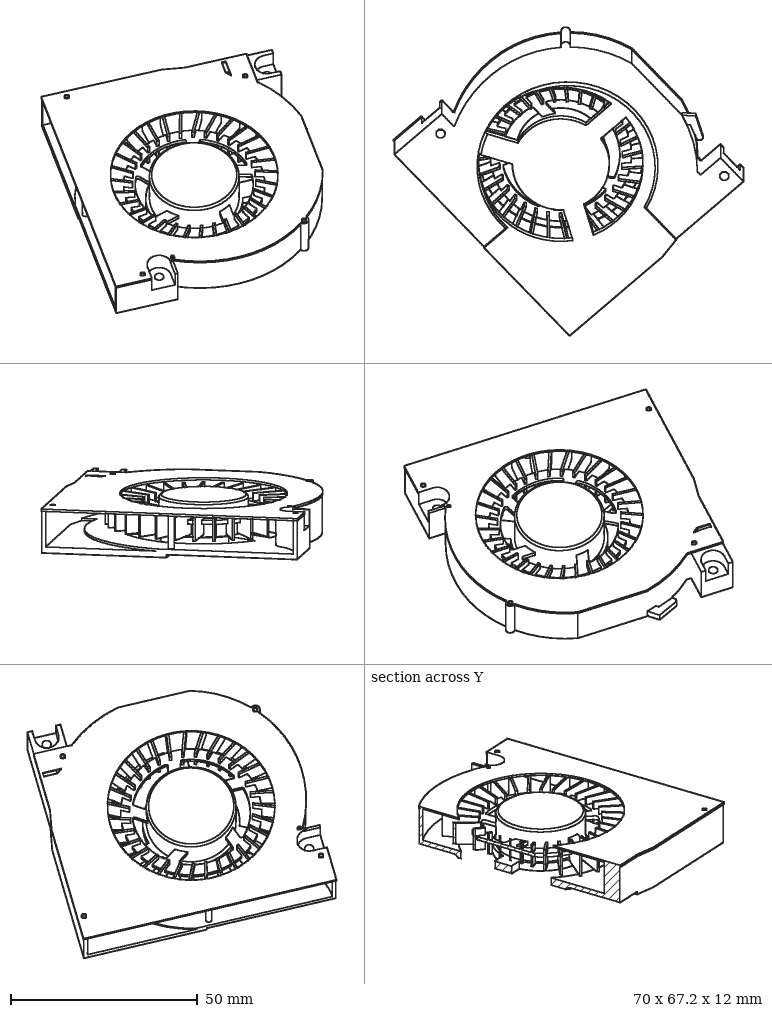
import cadquery as cq
import math


LEFT, RIGHT = -38.0, 32.0
FRONT = -31.4
HEIGHT = 12.0
COVER_THICKNESS = 0.6
COVER_BOTTOM = HEIGHT - COVER_THICKNESS
COVER_OVERHANG = 0.15
SHELL_BOTTOM = 0.8
FLOOR_HIGH = 2.3
FLOOR_LOW = 1.7
FLOOR_STEP_RADIUS = 31.95
WALL = 1.2
OVERALL_DEPTH = 67.18
BLOCK_LEFT, BLOCK_RIGHT = -36.9, -27.45
BLOCK_BACK = 32.8
SHOULDER = 25.6
JOG_FRONT, JOG_BACK = 2.3, 8.3
FIN_BACK = -13.9

SCROLL_TOP = 33.4
SCROLL_START = (-26.4, SHOULDER)
REAR_ARC_MID = (-20.15, 30.05)
REAR_ARC_END = (-11.5, SCROLL_TOP)
SIDE_ARC_START = (8.4, SCROLL_TOP)
SIDE_ARC_MID = (23.3, 24.0)
SIDE_ARC_END = (31.35, 3.5)
TONGUE_ARC_MID = (30.25, -6.1)
TONGUE_ARC_END = (27.2, FIN_BACK)

CHANNEL_START = (-35.0, JOG_BACK)
CHANNEL_REAR_MID = (-26.3, 23.4)
CHANNEL_REAR_END = (REAR_ARC_END[0], SCROLL_TOP - WALL)
CHANNEL_SIDE_START = (8.0, SCROLL_TOP - WALL)
CHANNEL_SIDE_MID = (22.2, 23.4)
CHANNEL_SIDE_END = (SIDE_ARC_END[0] - WALL, SIDE_ARC_END[1])
CHANNEL_TONGUE_MID = (29.2, -5.8)
CHANNEL_TONGUE_TIP = (25.4, -14.5)
CHANNEL_TONGUE_BACK = (25.2, -21.5)
OUTLET_BEND_MID = (28.9, -25.0)
OUTLET_BEND_END = (RIGHT - WALL, -30.0)

PAD_RIGHT = -3.8
PAD_BACK = JOG_BACK
PAD_DISC_CENTER = (-1.9, 0.7)
PAD_DISC_RADIUS = 24.2
PAD_CHAMFER = 0.75

INLET_RADIUS = 44.8 / 2
BASE_OPENING_RADIUS = 22.0
BASE_HUB_RADIUS = 13.0
HUB_RADIUS = 24.0 / 2
HUB_TOP = 11.7
HUB_CHAMFER = 0.6
BASE_WEBS = [(90, 1.8, -3.7), (206, 3.0, -2.7), (330, 2.3, -3.9)]
BLADE_COUNT = 31
BLADE_INNER, BLADE_OUTER = 16.4, 26.4
BLADE_THICKNESS = 0.6
BLADE_BOTTOM, BLADE_TOP = 3.85, 10.15
BLADE_PIVOT = INLET_RADIUS
BLADE_TILT = -9.4
BLADE_PHASE = -1.45
RING_INNER, RING_OUTER = 15.8, 18.9
RING_BOTTOM, RING_TOP = 7.0, 8.1
SPOKE_COUNT = 5
SPOKE_WIDTH = 3.2
SPOKE_OFFSET = 5.3
SPOKE_START = 9.0
SPOKE_FILLET = 0.6

MOUNT_BACK = (-32.15, 29.9)
MOUNT_SIDE = (27.9, -18.1)
MOUNT_HOLE_DIAMETER = 2.4
NOTCH_RADIUS = 3.25
NOTCH_FLOOR = 7.0
RIVET_EAR = (23.9, 23.5)
RIVETS = [(-29.5, 23.0), (-36.1, -24.8), (29.8, -23.3), RIVET_EAR]
RIVET_DIAMETER, RIVET_HOLE_DIAMETER = 1.0, 1.3
RIVET_DEPTH = 0.4
RIVET_EAR_RADIUS = 1.25
TONGUE_BOSS = (26.3, -13.9)
TONGUE_BOSS_RADIUS = 0.65
TONGUE_HOLE_RADIUS = 0.5
COVER_END = 27.3
COLUMN_CENTER = (-2.85, -29.5)
COLUMN_RADIUS = 0.85
LATCH_LEFT, LATCH_RIGHT, LATCH_TIP = -35.9, -32.2, -30.8
LATCH_FRONT, LATCH_BACK = 18.4, 19.5
LATCH_DEPTH, LATCH_RAMP_DEPTH = 0.4, 0.2
HOOK_POINTS = [
    (-11.0, 32.2), (-11.9, 33.4), (-14.25, FRONT + OVERALL_DEPTH), (-20.4, 32.95),
    (-20.4, 32.2), (-19.7, 31.4), (-15.2, 33.0), (-14.6, 32.4), (-14.0, 31.5),
]
HOOK_BOTTOM, HOOK_TOP = 0.9, 2.9


def cylinder(center, radius, bottom, top):
    return cq.Workplane("XY", origin=(0, 0, bottom)).center(*center).circle(radius).extrude(top - bottom)


def slab(x_range, y_range, z_range):
    size = [high - low for low, high in (x_range, y_range, z_range)]
    corner = (x_range[0], y_range[0], z_range[0])
    return cq.Workplane("XY", origin=corner).box(*size, centered=False)


def case_outline(bottom):
    """Volute outline with a rear mounting block and a straight front outlet."""
    return (
        cq.Workplane("XY", origin=(0, 0, bottom))
        .moveTo(LEFT, FRONT)
        .lineTo(LEFT, JOG_FRONT)
        .lineTo(BLOCK_LEFT, JOG_BACK)
        .lineTo(BLOCK_LEFT, BLOCK_BACK)
        .lineTo(BLOCK_RIGHT, BLOCK_BACK)
        .lineTo(BLOCK_RIGHT, SHOULDER)
        .lineTo(*SCROLL_START)
        .threePointArc(REAR_ARC_MID, REAR_ARC_END)
        .lineTo(*SIDE_ARC_START)
        .threePointArc(SIDE_ARC_MID, SIDE_ARC_END)
        .threePointArc(TONGUE_ARC_MID, TONGUE_ARC_END)
        .lineTo(RIGHT, FIN_BACK)
        .lineTo(RIGHT, FRONT)
        .close()
    )


def air_channel(bottom):
    """Scroll cavity that opens through the front and bends around the side mount."""
    inner_left, inner_right = LEFT + WALL, RIGHT - WALL
    tongue_mid = (MOUNT_SIDE[0] - NOTCH_RADIUS - WALL, MOUNT_SIDE[1])
    return (
        cq.Workplane("XY", origin=(0, 0, bottom))
        .moveTo(inner_left, FRONT - WALL)
        .lineTo(inner_left, JOG_FRONT)
        .lineTo(*CHANNEL_START)
        .threePointArc(CHANNEL_REAR_MID, CHANNEL_REAR_END)
        .lineTo(*CHANNEL_SIDE_START)
        .threePointArc(CHANNEL_SIDE_MID, CHANNEL_SIDE_END)
        .threePointArc(CHANNEL_TONGUE_MID, CHANNEL_TONGUE_TIP)
        .threePointArc(tongue_mid, CHANNEL_TONGUE_BACK)
        .threePointArc(OUTLET_BEND_MID, OUTLET_BEND_END)
        .lineTo(inner_right, FRONT - WALL)
        .close()
        .extrude(COVER_BOTTOM - bottom)
    )


def underside_pad():
    corner = slab((LEFT, PAD_RIGHT), (FRONT, PAD_BACK), (0, SHELL_BOTTOM))
    disc = cylinder(PAD_DISC_CENTER, PAD_DISC_RADIUS, 0, SHELL_BOTTOM).faces("<Z").chamfer(PAD_CHAMFER)
    return corner.intersect(case_outline(0).extrude(SHELL_BOTTOM)).union(disc)


def make_shell():
    shell = case_outline(SHELL_BOTTOM).extrude(COVER_BOTTOM - SHELL_BOTTOM)
    shell = shell.union(underside_pad())
    trimmed = case_outline(0).offset2D(-COVER_OVERHANG).extrude(COVER_BOTTOM)
    shell = shell.intersect(trimmed)
    shell = shell.union(cylinder(RIVET_EAR, RIVET_EAR_RADIUS, SHELL_BOTTOM, COVER_BOTTOM))
    shell = shell.cut(air_channel(FLOOR_HIGH))
    low_floor = slab((LEFT, PAD_RIGHT - WALL), (FRONT - WALL, PAD_BACK), (FLOOR_LOW, FLOOR_HIGH))
    low_floor = low_floor.cut(cylinder((0, 0), FLOOR_STEP_RADIUS, 0, HEIGHT))
    return shell.cut(low_floor.intersect(air_channel(FLOOR_LOW)))


def make_base_opening():
    opening = cylinder((0, 0), BASE_OPENING_RADIUS, 0, FLOOR_HIGH)
    opening = opening.cut(cylinder((0, 0), BASE_HUB_RADIUS, 0, FLOOR_HIGH))
    for angle, left_edge, right_edge in BASE_WEBS:
        web = slab((0, BASE_OPENING_RADIUS + WALL), (right_edge, left_edge), (0, FLOOR_HIGH))
        opening = opening.cut(web.rotate((0, 0, 0), (0, 0, 1), angle))
    return opening


def make_cover():
    cover = case_outline(COVER_BOTTOM).extrude(COVER_THICKNESS)
    cover = cover.union(cylinder(RIVET_EAR, RIVET_EAR_RADIUS, COVER_BOTTOM, HEIGHT))
    cover = cover.cut(slab((LEFT, BLOCK_RIGHT), (SHOULDER, BLOCK_BACK), (COVER_BOTTOM, HEIGHT)))
    fin_front = MOUNT_SIDE[1] + NOTCH_RADIUS
    cover = cover.cut(slab((COVER_END, RIGHT), (fin_front, FIN_BACK), (COVER_BOTTOM, HEIGHT)))
    return cover.cut(cylinder((0, 0), INLET_RADIUS, COVER_BOTTOM, HEIGHT))


def make_blade(angle):
    """Flat blade, tilted back from the radial line about its crossing of the inlet edge."""
    thickness = (-BLADE_THICKNESS / 2, BLADE_THICKNESS / 2)
    blade = slab((BLADE_INNER, BLADE_OUTER), thickness, (BLADE_BOTTOM, BLADE_TOP))
    blade = blade.rotate((BLADE_PIVOT, 0, 0), (BLADE_PIVOT, 0, 1), BLADE_TILT)
    return blade.rotate((0, 0, 0), (0, 0, 1), angle)


def fillet_spoke_root(wheel, angle):
    """Round the two corners where a spoke runs into the blade ring."""
    mid_height = (RING_BOTTOM + RING_TOP) / 2
    for side in (-SPOKE_WIDTH / 2, SPOKE_WIDTH / 2):
        root_angle = math.asin((SPOKE_OFFSET + side) / RING_INNER) + math.radians(angle)
        root = (RING_INNER * math.cos(root_angle), RING_INNER * math.sin(root_angle), mid_height)
        wheel = wheel.edges("|Z").edges(cq.selectors.NearestToPointSelector(root)).fillet(SPOKE_FILLET)
    return wheel


def make_impeller():
    wheel = cylinder((0, 0), RING_OUTER, RING_BOTTOM, RING_TOP)
    wheel = wheel.cut(cylinder((0, 0), RING_INNER, RING_BOTTOM, RING_TOP))
    spoke_sides = (SPOKE_OFFSET - SPOKE_WIDTH / 2, SPOKE_OFFSET + SPOKE_WIDTH / 2)
    spoke_end = (RING_INNER + RING_OUTER) / 2 - WALL
    for index in range(SPOKE_COUNT):
        spoke = slab((SPOKE_START, spoke_end), spoke_sides, (RING_BOTTOM, RING_TOP))
        wheel = wheel.union(spoke.rotate((0, 0, 0), (0, 0, 1), index * 360 / SPOKE_COUNT))
    for index in range(SPOKE_COUNT):
        wheel = fillet_spoke_root(wheel, index * 360 / SPOKE_COUNT)
    hub = cylinder((0, 0), HUB_RADIUS, 0, HUB_TOP).faces(">Z").chamfer(HUB_CHAMFER)
    wheel = wheel.union(hub)
    for index in range(BLADE_COUNT):
        wheel = wheel.union(make_blade(BLADE_PHASE + index * 360 / BLADE_COUNT))
    return wheel


def mounting_cuts():
    """Open-ended U notches above the two mounting tabs, each with a screw hole."""
    back_x, back_y = MOUNT_BACK
    side_x, side_y = MOUNT_SIDE
    notch_z = (NOTCH_FLOOR, HEIGHT)
    cuts = slab((back_x - NOTCH_RADIUS, back_x + NOTCH_RADIUS), (back_y, BLOCK_BACK), notch_z)
    cuts = cuts.union(slab((side_x, RIGHT), (side_y - NOTCH_RADIUS, side_y + NOTCH_RADIUS), notch_z))
    for center in (MOUNT_BACK, MOUNT_SIDE):
        cuts = cuts.union(cylinder(center, NOTCH_RADIUS, *notch_z))
        cuts = cuts.union(cylinder(center, MOUNT_HOLE_DIAMETER / 2, 0, HEIGHT))
    return cuts


def rivet_grooves():
    """Ring grooves left around the rivet pins in the cover."""
    grooves = cq.Workplane("XY", origin=(0, 0, HEIGHT - RIVET_DEPTH)).pushPoints(RIVETS)
    return grooves.circle(RIVET_HOLE_DIAMETER / 2).circle(RIVET_DIAMETER / 2).extrude(RIVET_DEPTH)


def latch_recess():
    pocket = slab((LATCH_LEFT, LATCH_RIGHT), (LATCH_FRONT, LATCH_BACK), (HEIGHT - LATCH_DEPTH, HEIGHT))
    ramp = (
        cq.Workplane("XY", origin=(0, 0, HEIGHT - LATCH_RAMP_DEPTH))
        .moveTo(LATCH_RIGHT, LATCH_FRONT)
        .lineTo(LATCH_TIP, LATCH_BACK)
        .lineTo(LATCH_RIGHT, LATCH_BACK)
        .close()
        .extrude(LATCH_RAMP_DEPTH)
    )
    return pocket.union(ramp)


def cable_hook():
    outline = cq.Workplane("XY", origin=(0, 0, HOOK_BOTTOM)).polyline(HOOK_POINTS).close()
    return outline.extrude(HOOK_TOP - HOOK_BOTTOM)


tongue_boss = cylinder(TONGUE_BOSS, TONGUE_BOSS_RADIUS, SHELL_BOTTOM, HEIGHT)
tongue_hole = cylinder(TONGUE_BOSS, TONGUE_HOLE_RADIUS, COVER_BOTTOM, HEIGHT)
outlet_column = cylinder(COLUMN_CENTER, COLUMN_RADIUS, FLOOR_LOW, COVER_BOTTOM)

blower = make_shell().cut(make_base_opening())
blower = blower.union(make_cover()).union(cable_hook())
blower = blower.union(tongue_boss).union(outlet_column).union(make_impeller())
result = blower.cut(mounting_cuts()).cut(rivet_grooves()).cut(latch_recess()).cut(tongue_hole)